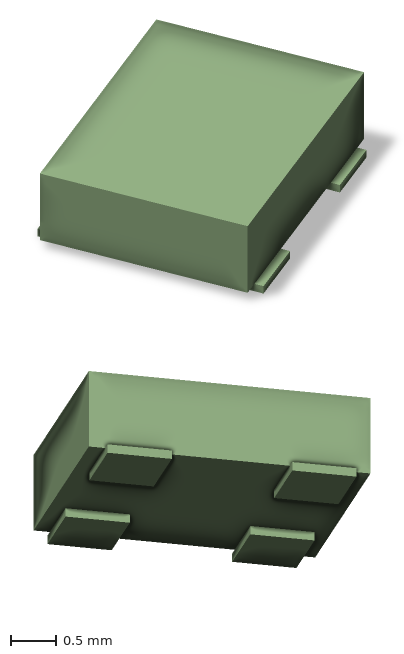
import cadquery as cq

body_length_x = 2.5
body_length_y = 3.2
body_height = 0.9

pad_overhang = 0.11
pad_length_x = 0.82
pad_width_y = 0.73
pad_thickness = 0.1
pad_spacing_y = 2.1

pad_outer_x = body_length_x / 2 + pad_overhang
pad_center_x = pad_outer_x - pad_length_x / 2
pad_center_y = pad_spacing_y / 2


def make_body():
    """Plain rectangular block that rests on top of the pads."""
    return (
        cq.Workplane("XY")
        .workplane(offset=pad_thickness)
        .rect(body_length_x, body_length_y)
        .extrude(body_height)
    )


def make_pad(side_x, side_y):
    """Flat pad standing on Z = 0 in the corner given by the two signs."""
    return (
        cq.Workplane("XY")
        .center(side_x * pad_center_x, side_y * pad_center_y)
        .rect(pad_length_x, pad_width_y)
        .extrude(pad_thickness)
    )


body = make_body()

pads = []
for side_x in (-1, 1):
    for side_y in (-1, 1):
        pads.append(make_pad(side_x, side_y).val())

result = cq.Compound.makeCompound([body.val(), *pads])